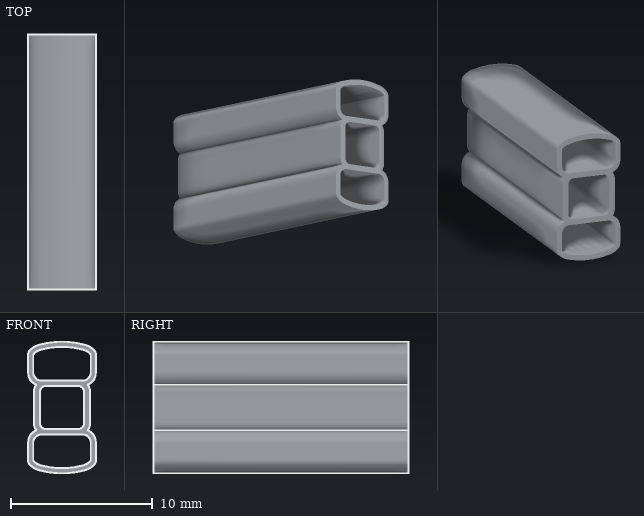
import cadquery as cq
import math

WIDTH = 4.8
HEIGHT = 9.3
LENGTH = 18.0

OUTER_WALL = 0.38
OUTER_CELL_BASE = 1.53
BASE_CORNER_RADIUS = 0.94
SIDE_RADIUS = 0.46
SHOULDER_RADIUS = 1.48
SHOULDER_START = math.radians(45.0)
CROWN_START = math.radians(74.4)

MIDDLE_WIDTH = 3.98
MIDDLE_WALL = 0.44
MIDDLE_OPENING_HEIGHT = 3.02
MIDDLE_CORNER_RADIUS = 0.85

SIDE_CENTRE_X = WIDTH / 2 - SIDE_RADIUS
SHOULDER_SHIFT = SHOULDER_RADIUS - SIDE_RADIUS
SHOULDER_CENTRE_X = SIDE_CENTRE_X - SHOULDER_SHIFT * math.cos(SHOULDER_START)
CROWN_RADIUS = SHOULDER_RADIUS + SHOULDER_CENTRE_X / math.cos(CROWN_START)
CROWN_CENTRE_Z = HEIGHT / 2 - CROWN_RADIUS
SHOULDER_CENTRE_Z = CROWN_CENTRE_Z + (CROWN_RADIUS - SHOULDER_RADIUS) * math.sin(CROWN_START)
SIDE_CENTRE_Z = SHOULDER_CENTRE_Z + SHOULDER_SHIFT * math.sin(SHOULDER_START)


def point_on_circle(centre, radius, angle):
    return (centre[0] + radius * math.cos(angle), centre[1] + radius * math.sin(angle))


def add_arc(outline, centre, radius, start, end):
    middle_point = point_on_circle(centre, radius, (start + end) / 2)
    end_point = point_on_circle(centre, radius, end)
    return outline.threePointArc(middle_point, end_point)


def extrude_profile(outline):
    """Extrude an XZ outline along Y, centred on the origin."""
    return outline.extrude(LENGTH / 2, both=True)


def upper_cell_body(inset):
    """Solid inside the upper cell's outline, moved inward by inset."""
    base_centre = (WIDTH / 2 - BASE_CORNER_RADIUS, OUTER_CELL_BASE + BASE_CORNER_RADIUS)
    quarter_turn = math.pi / 2
    outline = cq.Workplane("XZ").moveTo(0, OUTER_CELL_BASE + inset)
    outline = outline.lineTo(base_centre[0], OUTER_CELL_BASE + inset)
    outline = add_arc(outline, base_centre, BASE_CORNER_RADIUS - inset, -quarter_turn, 0)
    outline = outline.lineTo(WIDTH / 2 - inset, SIDE_CENTRE_Z)
    dome_arcs = [
        ((SIDE_CENTRE_X, SIDE_CENTRE_Z), SIDE_RADIUS, 0, SHOULDER_START),
        ((SHOULDER_CENTRE_X, SHOULDER_CENTRE_Z), SHOULDER_RADIUS, SHOULDER_START, CROWN_START),
        ((0, CROWN_CENTRE_Z), CROWN_RADIUS, CROWN_START, quarter_turn),
    ]
    for centre, radius, start, end in dome_arcs:
        outline = add_arc(outline, centre, radius - inset, start, end)
    return extrude_profile(outline.mirrorY())


def middle_cell_body(width, height, corner_radius):
    block = extrude_profile(cq.Workplane("XZ").rect(width, height))
    return block.edges("|Y").fillet(corner_radius)


def with_lower_copy(upper):
    return upper.union(upper.mirror("XY"))


def build_tube():
    middle_shell = middle_cell_body(
        MIDDLE_WIDTH,
        MIDDLE_OPENING_HEIGHT + 2 * MIDDLE_WALL,
        MIDDLE_CORNER_RADIUS,
    )
    middle_opening = middle_cell_body(
        MIDDLE_WIDTH - 2 * MIDDLE_WALL,
        MIDDLE_OPENING_HEIGHT,
        MIDDLE_CORNER_RADIUS - MIDDLE_WALL,
    )
    tube = middle_shell.union(with_lower_copy(upper_cell_body(0)))
    return tube.cut(middle_opening).cut(with_lower_copy(upper_cell_body(OUTER_WALL)))


result = build_tube()